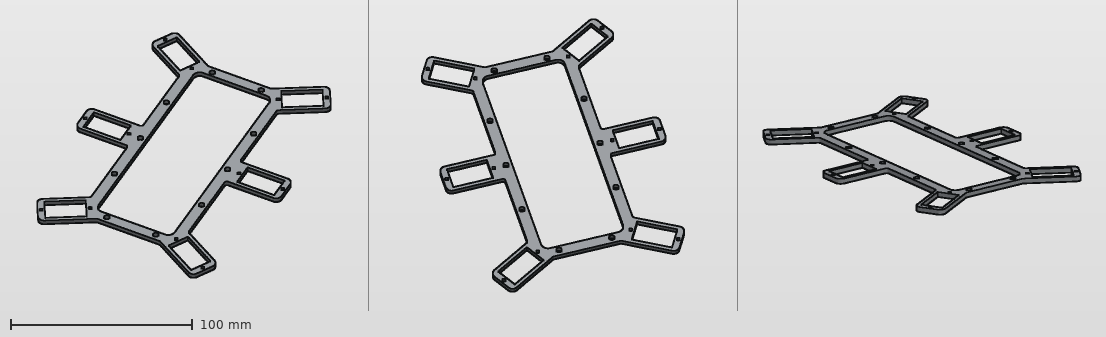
import cadquery as cq
import math

thickness = 3.0
overall_width = 125.8
overall_length = 164.2

frame_width = 60.3
frame_length = 134.3
opening_width = 47.0
opening_length = 122.2
opening_radius = 4.0
border_margin = 0.2

arm_width = 17.0
arm_radius = 3.3
junction_radius = 1.5
arm_reach = 15.5
arm_root = 19.7
window_length = 22.8
window_width = 12.6
servo_hole_spacing = 27.0
servo_hole_diameter = 1.8
arm_angle = 30.0
side_arm_x = overall_width / 2 - arm_reach
corner_arm_x = 38.3

tip_along = (arm_reach - arm_radius) * math.sin(math.radians(arm_angle))
tip_across = (arm_width / 2 - arm_radius) * math.cos(math.radians(arm_angle))
corner_arm_y = overall_length / 2 - (tip_along + tip_across + arm_radius)

mount_hole_diameter = 3.1
side_hole_x = 27.0
side_hole_pitch = 31.4
end_hole_x = 15.1
end_hole_y = 63.7


def block(length, width):
    """Plate-thick rectangle centred on the origin."""
    return cq.Workplane("XY").rect(length, width).extrude(thickness)


def place(shape, arm):
    """Turn a shape pointing along +X to an arm's direction and move it to the arm's window centre."""
    x, y, angle = arm
    return shape.rotate((0, 0, 0), (0, 0, 1), angle).translate((x, y, 0))


def arm_body():
    """Arm pointing along +X with rounded corners at its outer end."""
    shift = (arm_reach - arm_root) / 2
    body = block(arm_reach + arm_root, arm_width).translate((shift, 0, 0))
    return body.faces(">X").edges("|Z").fillet(arm_radius)


def arm_cutout():
    """Servo window with a screw hole beyond each end."""
    screw_points = [(-servo_hole_spacing / 2, 0), (servo_hole_spacing / 2, 0)]
    screws = cq.Workplane("XY").pushPoints(screw_points).circle(servo_hole_diameter / 2).extrude(thickness)
    return block(window_length, window_width).union(screws)


arms = [
    (side_arm_x, 0, 0),
    (-side_arm_x, 0, 180),
    (corner_arm_x, corner_arm_y, arm_angle),
    (-corner_arm_x, corner_arm_y, 180 - arm_angle),
    (-corner_arm_x, -corner_arm_y, 180 + arm_angle),
    (corner_arm_x, -corner_arm_y, -arm_angle),
]

result = block(frame_width, frame_length)
for arm in arms:
    result = result.union(place(arm_body(), arm))

half_box = (frame_width / 2 + border_margin, frame_length / 2 + border_margin, thickness)
frame_border = cq.selectors.BoxSelector(tuple(-size for size in half_box), half_box)
result = result.edges("|Z").edges(frame_border).fillet(junction_radius)

result = result.cut(block(opening_width, opening_length).edges("|Z").fillet(opening_radius))

for arm in arms:
    result = result.cut(place(arm_cutout(), arm))

mount_points = []
for side in (-1, 1):
    mount_points += [(side * side_hole_x, row * side_hole_pitch) for row in (-1, 0, 1)]
    mount_points += [(side * end_hole_x, end * end_hole_y) for end in (-1, 1)]
mount_holes = cq.Workplane("XY").pushPoints(mount_points).circle(mount_hole_diameter / 2).extrude(thickness)
result = result.cut(mount_holes)